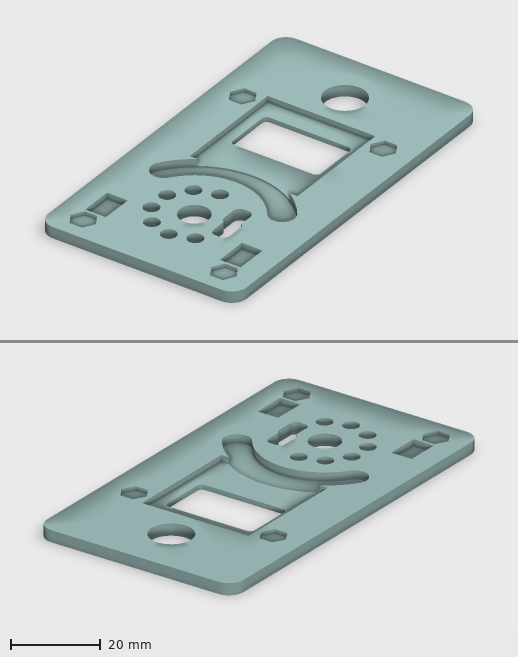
import cadquery as cq
import math

plate_width = 53.72
plate_length = 95.05
plate_thickness = 3.0
plate_corner_radius = 4.0

top_hole_diameter = 10.7
top_hole_y = 33.55

display_width = 29.2
display_top_y = 24.4
display_bottom_y = -6.0
display_depth = 1.75
window_width = 23.75
window_top_y = 19.5
window_bottom_y = 5.75
window_corner_radius = 1.2

dial_y = -25.22
dial_hole_diameter = 7.73
ring_radius = 10.0
ring_hole_diameter = 4.0
ring_positions = 10
ring_first_angle = 90.0
ring_hole_count = 7

arc_outer_radius = 22.9
arc_inner_radius = 16.2
arc_half_angle = 55.0
arc_depth = 2.2

slot_upper_x = 8.6
slot_upper_width = 4.6
slot_upper_top_y = -17.3
slot_upper_bottom_y = -24.4
slot_upper_corner_radius = 1.8
slot_lower_x = 9.4
slot_lower_width = 4.4
slot_lower_top_y = -22.4
slot_lower_bottom_y = -29.7
slot_lower_corner_radius = 1.5

nut_corner_diameter = 6.8
nut_x = 19.05
nut_upper_y = 21.1
nut_lower_y = -41.1
nut_depth = 1.1

pad_width = 5.6
pad_x = 18.25
pad_top_y = -28.95
pad_bottom_y = -37.5
pad_depth = 1.8


def box_cutter(center_x, width, bottom_y, top_y, depth):
    """Block of the given plan size reaching down from the top face."""
    return (
        cq.Workplane("XY", origin=(0, 0, plate_thickness - depth))
        .center(center_x, (bottom_y + top_y) / 2)
        .rect(width, top_y - bottom_y)
        .extrude(depth)
    )


def rounded_cutter(center_x, width, bottom_y, top_y, corner_radius):
    """Through-cutting block with rounded vertical edges."""
    block = box_cutter(center_x, width, bottom_y, top_y, plate_thickness)
    return block.edges("|Z").fillet(corner_radius)


def hole_cutter(points, diameter):
    """Through-cutting cylinders at the given points."""
    return cq.Workplane("XY").pushPoints(points).circle(diameter / 2).extrude(plate_thickness)


def dial_point(radius, angle):
    """Point at a polar position about the dial centre, angle in degrees from +X."""
    turn = math.radians(angle)
    return (radius * math.cos(turn), dial_y + radius * math.sin(turn))


def make_plate():
    """Rectangular plate with rounded vertical corners, centred on the origin in X and Y."""
    plate = cq.Workplane("XY").rect(plate_width, plate_length).extrude(plate_thickness)
    return plate.edges("|Z").fillet(plate_corner_radius)


def arc_cutter():
    """Curved slot with semicircular ends, symmetric about the Y axis and concentric with the dial."""
    mid_radius = (arc_outer_radius + arc_inner_radius) / 2
    cap_radius = (arc_outer_radius - arc_inner_radius) / 2
    tip_radius = math.hypot(mid_radius, cap_radius)
    tip_turn = math.degrees(math.atan2(cap_radius, mid_radius))
    middle = 90
    left = middle + arc_half_angle
    right = middle - arc_half_angle
    return (
        cq.Workplane("XY", origin=(0, 0, plate_thickness - arc_depth))
        .moveTo(*dial_point(arc_outer_radius, left))
        .threePointArc(dial_point(arc_outer_radius, middle), dial_point(arc_outer_radius, right))
        .threePointArc(dial_point(tip_radius, right - tip_turn), dial_point(arc_inner_radius, right))
        .threePointArc(dial_point(arc_inner_radius, middle), dial_point(arc_inner_radius, left))
        .threePointArc(dial_point(tip_radius, left + tip_turn), dial_point(arc_outer_radius, left))
        .close()
        .extrude(arc_depth)
    )


def nut_cutter():
    """Four hexagonal recesses with corners pointing along X."""
    points = [(x, y) for x in (-nut_x, nut_x) for y in (nut_lower_y, nut_upper_y)]
    return (
        cq.Workplane("XY", origin=(0, 0, plate_thickness - nut_depth))
        .pushPoints(points)
        .polygon(6, nut_corner_diameter)
        .extrude(nut_depth)
    )


def ring_points():
    """Consecutive positions of the ring holes, leaving the slot side of the ring empty."""
    step = 360 / ring_positions
    return [dial_point(ring_radius, ring_first_angle + i * step) for i in range(ring_hole_count)]


def stepped_slot_cutter():
    """Upper and lower halves of the slot, joined where they overlap."""
    upper = rounded_cutter(
        slot_upper_x, slot_upper_width, slot_upper_bottom_y, slot_upper_top_y, slot_upper_corner_radius
    )
    lower = rounded_cutter(
        slot_lower_x, slot_lower_width, slot_lower_bottom_y, slot_lower_top_y, slot_lower_corner_radius
    )
    return upper.union(lower)


result = make_plate()

result = result.cut(hole_cutter([(0, top_hole_y)], top_hole_diameter))
result = result.cut(hole_cutter([(0, dial_y)], dial_hole_diameter))
result = result.cut(hole_cutter(ring_points(), ring_hole_diameter))
result = result.cut(rounded_cutter(0, window_width, window_bottom_y, window_top_y, window_corner_radius))
result = result.cut(stepped_slot_cutter())

result = result.cut(box_cutter(0, display_width, display_bottom_y, display_top_y, display_depth))
result = result.cut(arc_cutter())
result = result.cut(nut_cutter())
for pad_center_x in (-pad_x, pad_x):
    result = result.cut(box_cutter(pad_center_x, pad_width, pad_bottom_y, pad_top_y, pad_depth))